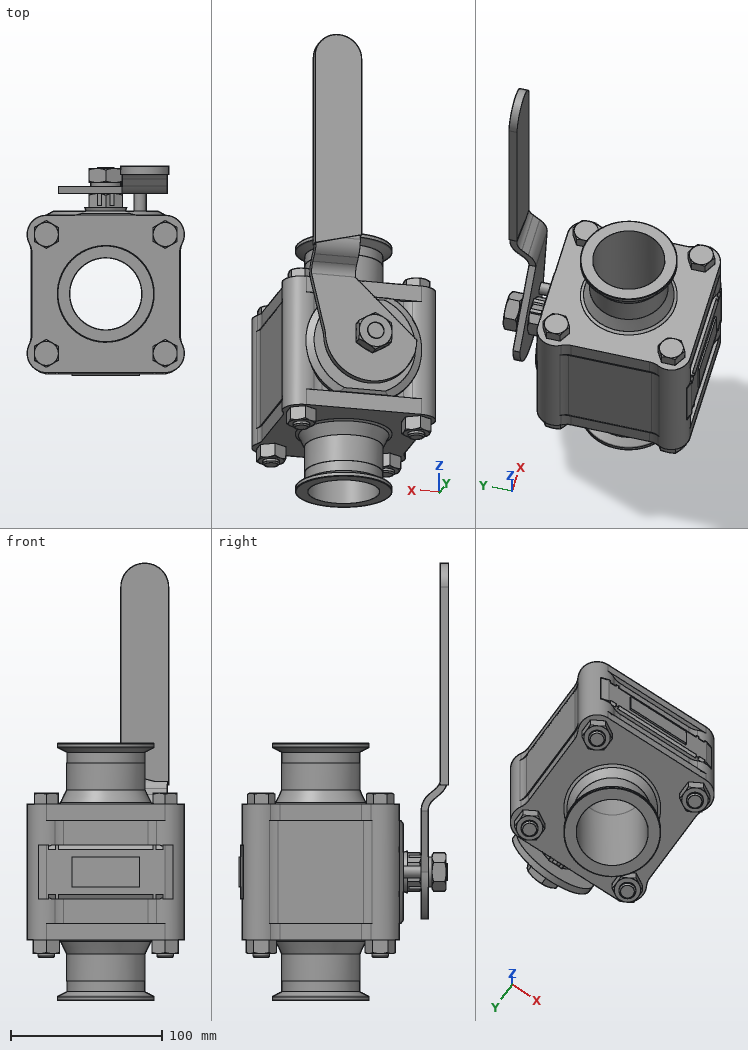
import cadquery as cq
import math


BORE_D = 47.5
FERRULE_D = 63.96
FERRULE_NECK_D = 51.56
TUBE_D = 51.94
HALF_LENGTH = 85.0
RIM_THICKNESS = 3.0
RIM_CHAMFER = 0.4
RIM_TAPER = 3.0
FERRULE_LENGTH = 13.0
CONE_TOP_Z = 54.0
CONE_BASE_R = 29.9
CONE_FOOT_HEIGHT = 1.0

HALF_WIDTH = 103.89 / 2
CORNER_R = 12.7
BOLT_OFFSET = HALF_WIDTH - CORNER_R
COVER_HALF_X = 48.7
BODY_HALF_X = 49.4
BODY_HALF_Y = 49.2
COVER_TOP_Z = 44.8
BODY_HALF_Z = 33.9

HEAD_FLATS = 15.88
HEAD_HEIGHT = 7.2
NUT_FLATS = 17.46
NUT_HEIGHT = 9.1
BOLT_D = 11.11
BOLT_END = 2.7
BOLT_CHAMFER = 1.0
HEX_CHAMFER_ANGLE = 30

BAND_Y = 52.9
BAND_BACK_Y = 51.3
BAND_HALF_X = 44.4
BAND_FACE_HALF_X = BOLT_OFFSET
BAND_HALF_Z = 17.7
BAND_BEVELS = ((0, 62.4), (-35.4, 4.6), (35.4, 4.6))
BAND_BEVEL_HEIGHT = 2.8
BAND_BEVEL_DEPTH = 1.4
LABEL_Y = 54.0
LABEL_WIDTH = 44.6
LABEL_HEIGHT = 19.8

PAD_Y = 54.6
PAD_FACE_R = 34.6
PAD_TAPER_R = 39.6
PAD_TAPER_DEPTH = 2.7
PAD_BEVEL_Z = 2.2
PAD_BEVEL_Y = 1.6

GLAND_D = 27.81
GLAND_FOOT_D = 26.2
GLAND_TOP_Y = 57.1
STEM_NUT_FLATS = 22.22
LEVER_BACK_Y = 66.2
LEVER_THICKNESS = 4.76
WASHER_D = 20.02
TOP_NUT_Y = 73.5
TOP_NUT_HEIGHT = 9.3
STEM_D = BOLT_D
STEM_END_Y = 83.6
STEM_TAB_HALF_X = 5.4
STEM_TAB_HALF_Z = 11.2
STEM_TAB_Y = 58.4
STOP_PIN_D = 8.13
STOP_PIN_X = 22.7

LEVER_HUB_R = 31.2
GRIP_WALL = 0.4
GRIP_SIDE_WALL = 0.9
GRIP_WIDTH = 31.7
GRIP_CENTER_X = 25.75
GRIP_TOP_Z = 288.89 - HALF_LENGTH
GRIP_LOW_LEFT_Z = 65.5
GRIP_LOW_RIGHT_Z = 57.4
GRIP_FRONT_Y = 138.34 - LABEL_Y
BEND_CENTER_Z = 51.3
BEND_ANGLE = 50
BEND_INNER_R = 9.6


def box_between(x0, x1, y0, y1, z0, z1):
    """Axis-aligned box spanning the given limits."""
    return cq.Workplane("XY").box(x1 - x0, y1 - y0, z1 - z0, centered=False).translate((x0, y0, z0))


def disc_y(diameter, y0, y1, x=0):
    """Cylinder along Y between two levels."""
    return cq.Workplane("XZ").center(x, 0).circle(diameter / 2).extrude(y0 - y1).translate((0, y0, 0))


def hex_prism(flats, height, chamfer_bottom=False):
    """Hexagon along Z with corners on +-Y, its top corners turned off by a cone."""
    corners = flats / math.cos(math.radians(30))
    prism = cq.Workplane("XY").polygon(6, corners).extrude(height).rotate((0, 0, 0), (0, 0, 1), 90)
    drop = (corners - flats) / 2 * math.tan(math.radians(HEX_CHAMFER_ANGLE))
    bottom_r = flats / 2 if chamfer_bottom else corners / 2
    outline = [
        (0, 0),
        (bottom_r, 0),
        (corners / 2, drop),
        (corners / 2, height - drop),
        (flats / 2, height),
        (0, height),
    ]
    envelope = cq.Workplane("XZ").polyline(outline).close().revolve(360, (0, 0, 0), (0, 1, 0))
    return prism.intersect(envelope)


def stand_on_y(shape, y):
    """Turn a shape built along +Z to run along +Y, starting at the given level."""
    return shape.rotate((0, 0, 0), (1, 0, 0), -90).translate((0, y, 0))


def blend_angle(half_flat):
    """Angle that a corner column's arc runs on past square before the concave blend takes over."""
    return math.acos((half_flat + CORNER_R - BOLT_OFFSET) / (2 * CORNER_R))


def rounded_block(height, half_x, half_y):
    """Block with four corner columns; a side set back from full width meets them in concave blends."""
    outline = None
    for side in range(4):
        half_flat, next_flat = (half_x, half_y) if side % 2 == 0 else (half_y, half_x)
        turn = math.radians(90 * side)

        def placed(center_x, center_y, radius, angle):
            """Point on a circle of this side, turned to the side's place around Z."""
            x = center_x + radius * math.cos(angle)
            y = center_y + radius * math.sin(angle)
            return (
                x * math.cos(turn) - y * math.sin(turn),
                x * math.sin(turn) + y * math.cos(turn),
            )

        blend = blend_angle(half_flat)
        next_blend = blend_angle(next_flat)
        blend_x = half_flat + CORNER_R
        blend_y = BOLT_OFFSET - 2 * CORNER_R * math.sin(blend)
        column = (BOLT_OFFSET, BOLT_OFFSET, CORNER_R)
        upper_blend = (blend_x, blend_y, -CORNER_R)
        lower_blend = (blend_x, -blend_y, -CORNER_R)
        if outline is None:
            start = placed(*lower_blend, blend)
            outline = cq.Workplane("XY", origin=(0, 0, -height / 2)).moveTo(*start)
        if half_flat < HALF_WIDTH:
            outline = outline.threePointArc(placed(*lower_blend, blend / 2), placed(*lower_blend, 0))
        outline = outline.lineTo(*placed(*upper_blend, 0))
        if half_flat < HALF_WIDTH:
            outline = outline.threePointArc(placed(*upper_blend, -blend / 2), placed(*upper_blend, -blend))
        column_end = math.pi / 2 + next_blend
        column_middle = (column_end - blend) / 2
        outline = outline.threePointArc(placed(*column, column_middle), placed(*column, column_end))
    return outline.close().extrude(height)


def make_body():
    body = rounded_block(2 * BODY_HALF_Z, BODY_HALF_X, BODY_HALF_Y)
    thickness = COVER_TOP_Z - BODY_HALF_Z
    cover = rounded_block(thickness, COVER_HALF_X, HALF_WIDTH)
    for side in (1, -1):
        body = body.union(cover.translate((0, 0, side * (COVER_TOP_Z - thickness / 2))))
    return body


def make_pipe_end():
    """Cone, tube and clamp ferrule above the upper cover; solid, bored later."""
    rim_r = FERRULE_D / 2
    neck_r = FERRULE_NECK_D / 2
    rim_low_z = HALF_LENGTH - RIM_THICKNESS
    step_z = HALF_LENGTH - FERRULE_LENGTH
    foot_z = COVER_TOP_Z + CONE_FOOT_HEIGHT
    return (
        cq.Workplane("XZ")
        .moveTo(0, BODY_HALF_Z)
        .lineTo(CONE_BASE_R, BODY_HALF_Z)
        .lineTo(rim_r, COVER_TOP_Z)
        .lineTo(CONE_BASE_R, foot_z)
        .lineTo(TUBE_D / 2, CONE_TOP_Z)
        .lineTo(TUBE_D / 2, step_z)
        .lineTo(neck_r, step_z)
        .lineTo(neck_r, rim_low_z - RIM_TAPER)
        .lineTo(rim_r - RIM_CHAMFER, rim_low_z)
        .lineTo(rim_r, rim_low_z + RIM_CHAMFER)
        .lineTo(rim_r, HALF_LENGTH - RIM_CHAMFER)
        .lineTo(rim_r - RIM_CHAMFER, HALF_LENGTH)
        .lineTo(0, HALF_LENGTH)
        .close()
        .revolve(360, (0, 0, 0), (0, 1, 0))
    )


def make_fastener():
    """Bolt head on the upper cover, nut and bolt end below the lower cover, at the origin in XY."""
    head = hex_prism(HEAD_FLATS, HEAD_HEIGHT).translate((0, 0, COVER_TOP_Z))
    nut = hex_prism(NUT_FLATS, NUT_HEIGHT).rotate((0, 0, 0), (1, 0, 0), 180)
    end = cq.Workplane("XY").circle(BOLT_D / 2).extrude(-NUT_HEIGHT - BOLT_END)
    end = end.faces("<Z").chamfer(BOLT_CHAMFER)
    return head.union(nut.union(end).translate((0, 0, -COVER_TOP_Z)))


def make_name_band():
    outline = [
        (-BAND_HALF_X, 0),
        (-BAND_HALF_X, -BAND_BACK_Y),
        (-BAND_FACE_HALF_X, -BAND_Y),
        (BAND_FACE_HALF_X, -BAND_Y),
        (BAND_HALF_X, -BAND_BACK_Y),
        (BAND_HALF_X, 0),
    ]
    band = cq.Workplane("XY").polyline(outline).close().extrude(BAND_HALF_Z, both=True)
    for center_x, length in BAND_BEVELS:
        bevel = (
            cq.Workplane("YZ", origin=(center_x - length / 2, 0, 0))
            .moveTo(-BAND_Y, BAND_HALF_Z)
            .lineTo(BAND_BEVEL_DEPTH - BAND_Y, BAND_HALF_Z)
            .lineTo(-BAND_Y, BAND_HALF_Z - BAND_BEVEL_HEIGHT)
            .close()
            .extrude(length)
        )
        band = band.cut(bevel).cut(bevel.mirror("XY"))
    label = box_between(
        -LABEL_WIDTH / 2, LABEL_WIDTH / 2, -LABEL_Y, 0, -LABEL_HEIGHT / 2, LABEL_HEIGHT / 2
    )
    return band.union(label)


def make_stem_pad():
    """Tapered disc on the +Y face, trimmed to the body height with bevelled edges."""
    taper_y = PAD_Y - PAD_TAPER_DEPTH
    outline = [(0, 0), (PAD_TAPER_R, 0), (PAD_TAPER_R, taper_y), (PAD_FACE_R, PAD_Y), (0, PAD_Y)]
    disc = cq.Workplane("XY").polyline(outline).close().revolve(360, (0, 0, 0), (0, 1, 0))
    trim = [
        (0, -BODY_HALF_Z),
        (PAD_Y - PAD_BEVEL_Y, -BODY_HALF_Z),
        (PAD_Y, PAD_BEVEL_Z - BODY_HALF_Z),
        (PAD_Y, BODY_HALF_Z - PAD_BEVEL_Z),
        (PAD_Y - PAD_BEVEL_Y, BODY_HALF_Z),
        (0, BODY_HALF_Z),
    ]
    return disc.intersect(cq.Workplane("YZ").polyline(trim).close().extrude(HALF_WIDTH, both=True))


def make_stem_stack():
    gland_outline = [(0, PAD_Y), (GLAND_FOOT_D / 2, PAD_Y), (GLAND_D / 2, GLAND_TOP_Y), (0, GLAND_TOP_Y)]
    stack = cq.Workplane("XY").polyline(gland_outline).close().revolve(360, (0, 0, 0), (0, 1, 0))
    lower_nut = hex_prism(STEM_NUT_FLATS, LEVER_BACK_Y - GLAND_TOP_Y)
    stack = stack.union(stand_on_y(lower_nut, GLAND_TOP_Y))
    stack = stack.union(
        box_between(
            -STEM_TAB_HALF_X, STEM_TAB_HALF_X, STEM_TAB_Y, LEVER_BACK_Y, -STEM_TAB_HALF_Z, STEM_TAB_HALF_Z
        )
    )
    stack = stack.union(disc_y(WASHER_D, LEVER_BACK_Y, TOP_NUT_Y))
    top_nut = hex_prism(STEM_NUT_FLATS, TOP_NUT_HEIGHT, chamfer_bottom=True)
    stack = stack.union(stand_on_y(top_nut, TOP_NUT_Y))
    stack = stack.union(disc_y(STEM_D, TOP_NUT_Y, STEM_END_Y))
    return stack.union(disc_y(STOP_PIN_D, PAD_Y, LEVER_BACK_Y, STOP_PIN_X))


def make_lever():
    """Flat hub, offset bend and gripped arm."""
    arm_width = GRIP_WIDTH - 2 * GRIP_SIDE_WALL
    left_x = GRIP_CENTER_X - arm_width / 2
    right_x = left_x + arm_width
    lower_y = LEVER_BACK_Y
    upper_y = GRIP_FRONT_Y - GRIP_WALL - LEVER_THICKNESS
    half_rise = (upper_y - lower_y) / 2 / math.tan(math.radians(BEND_ANGLE))
    low_z = BEND_CENTER_Z - half_rise
    high_z = BEND_CENTER_Z + half_rise
    shift = LEVER_THICKNESS * math.tan(math.radians(BEND_ANGLE / 2)) / 2
    outer_r = BEND_INNER_R + LEVER_THICKNESS
    hub_top_z = low_z - outer_r * math.tan(math.radians(BEND_ANGLE / 2)) + shift
    arm_top_z = GRIP_TOP_Z - GRIP_WIDTH / 2

    profile = [
        (lower_y, -LEVER_HUB_R),
        (lower_y, low_z + shift),
        (upper_y, high_z + shift),
        (upper_y, arm_top_z),
        (upper_y + LEVER_THICKNESS, arm_top_z),
        (upper_y + LEVER_THICKNESS, high_z - shift),
        (lower_y + LEVER_THICKNESS, low_z - shift),
        (lower_y + LEVER_THICKNESS, -LEVER_HUB_R),
    ]
    sheet = cq.Workplane("YZ").polyline(profile).close().extrude(HALF_WIDTH, both=True)
    inner_bends = (profile[2], profile[6])
    outer_bends = (profile[1], profile[5])
    for radius, corners in ((BEND_INNER_R, inner_bends), (outer_r, outer_bends)):
        for y, z in corners:
            sheet = sheet.edges(cq.selectors.NearestToPointSelector((0, y, z))).fillet(radius)
    plan = (
        cq.Workplane("XZ")
        .moveTo(-LEVER_HUB_R, 0)
        .threePointArc((0, -LEVER_HUB_R), (LEVER_HUB_R, 0))
        .lineTo(right_x, hub_top_z)
        .lineTo(right_x, arm_top_z)
        .lineTo(left_x, arm_top_z)
        .lineTo(left_x, hub_top_z)
        .close()
        .extrude(-GRIP_FRONT_Y)
    )
    lever = sheet.intersect(plan)

    half_grip = GRIP_WIDTH / 2
    grip_thickness = LEVER_THICKNESS + 2 * GRIP_WALL
    grip = (
        cq.Workplane("XZ")
        .moveTo(GRIP_CENTER_X - half_grip, GRIP_LOW_LEFT_Z)
        .lineTo(GRIP_CENTER_X - half_grip, arm_top_z)
        .threePointArc((GRIP_CENTER_X, GRIP_TOP_Z), (GRIP_CENTER_X + half_grip, arm_top_z))
        .lineTo(GRIP_CENTER_X + half_grip, GRIP_LOW_RIGHT_Z)
        .close()
        .extrude(-grip_thickness)
        .translate((0, GRIP_FRONT_Y - grip_thickness, 0))
    )
    return lever.union(grip)


def make_valve():
    valve = make_body()
    pipe_end = make_pipe_end()
    valve = valve.union(pipe_end).union(pipe_end.mirror("XY"))
    fastener = make_fastener()
    for x in (-BOLT_OFFSET, BOLT_OFFSET):
        for y in (-BOLT_OFFSET, BOLT_OFFSET):
            valve = valve.union(fastener.translate((x, y, 0)))
    for feature in (make_name_band(), make_stem_pad(), make_stem_stack(), make_lever()):
        valve = valve.union(feature)
    bore = cq.Workplane("XY").circle(BORE_D / 2).extrude(HALF_LENGTH, both=True)
    return valve.cut(bore)


result = make_valve()